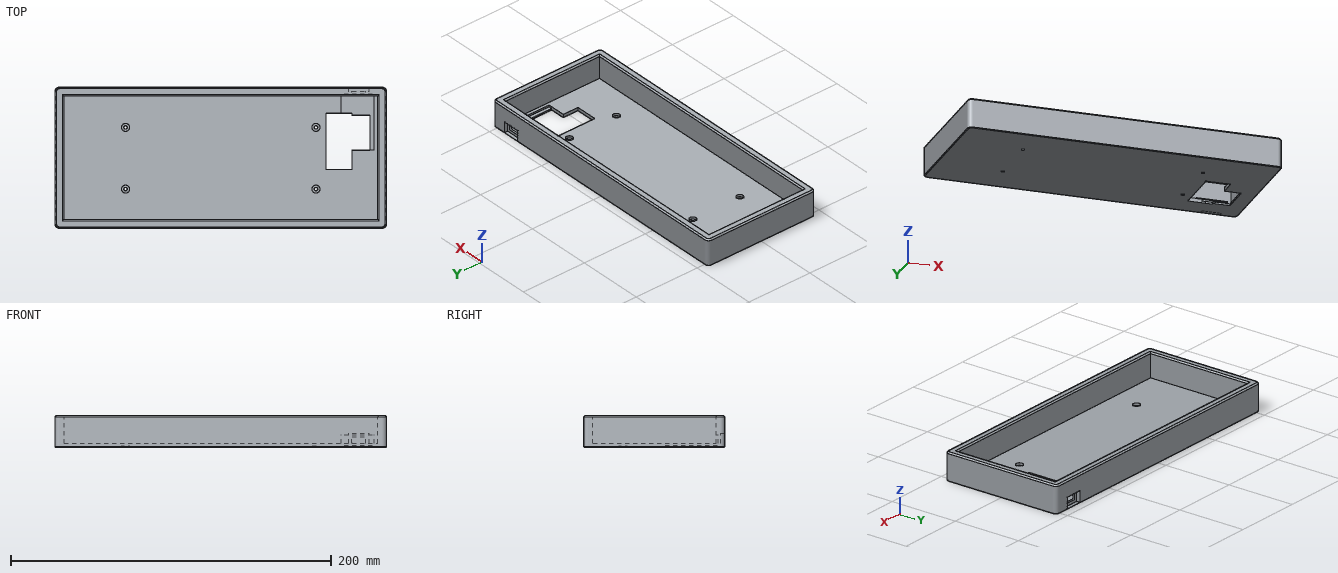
import cadquery as cq

LENGTH = 207.4
WIDTH = 88.35
HEIGHT = 20.0
CORNER_RADIUS = 3.0
TOP_CHAMFER = 1.0
BOTTOM_CHAMFER = 0.5

WALL = 5.7
FLOOR = 2.5
RIM_CHAMFER = 1.0

SCREW_X = 59.5
SCREW_SPACING_Y = 38.6
SCREW_CENTER_Y = -0.3
SCREW_HOLE_DIAMETER = 2.0
COUNTERBORE_DIAMETER = 5.0
COUNTERBORE_DEPTH = 1.7

WINDOW_LEFT = 65.8
WINDOW_STEP = 82.0
WINDOW_RIGHT = 93.2
TALL_TOP = 27.7
TALL_BOTTOM = -7.2
SHORT_TOP = 26.5
SHORT_BOTTOM = 4.8

RECESS_LEFT = 75.3
RECESS_RIGHT = 95.7
RECESS_FLOOR = 1.2
RECESS_TOP = 7.6
RECESS_WALL_DEPTH = 1.5

PORT_LEFT = 81.8
PORT_RIGHT = 90.6
PORT_BOTTOM = 2.5
PORT_TOP = 6.5
PORT_CORNER_RADIUS = 0.43
PORT_WALL = 1.5
PLUG_MARGIN = 2.0

CAVITY_LENGTH = LENGTH - 2 * WALL
CAVITY_WIDTH = WIDTH - 2 * WALL


def block(x_range, y_range, z_range):
    """Axis-aligned box given by its limits along each axis."""
    (x0, x1), (y0, y1), (z0, z1) = x_range, y_range, z_range
    return cq.Workplane("XY").box(x1 - x0, y1 - y0, z1 - z0, centered=False).translate((x0, y0, z0))


def make_shell():
    body = cq.Workplane("XY").box(LENGTH, WIDTH, HEIGHT, centered=(True, True, False))
    body = body.edges("|Z").fillet(CORNER_RADIUS)
    body = body.faces(">Z").chamfer(TOP_CHAMFER)
    body = body.faces("<Z").chamfer(BOTTOM_CHAMFER)
    cavity = (
        cq.Workplane("XY", origin=(0, 0, FLOOR))
        .rect(CAVITY_LENGTH, CAVITY_WIDTH)
        .extrude(HEIGHT - FLOOR)
    )
    body = body.cut(cavity)
    flare = (
        cq.Workplane("XY", origin=(0, 0, HEIGHT - RIM_CHAMFER))
        .rect(CAVITY_LENGTH, CAVITY_WIDTH)
        .workplane(offset=RIM_CHAMFER)
        .rect(CAVITY_LENGTH + 2 * RIM_CHAMFER, CAVITY_WIDTH + 2 * RIM_CHAMFER)
        .loft(ruled=True)
    )
    return body.cut(flare)


def cut_screw_holes(body):
    y_low = SCREW_CENTER_Y - SCREW_SPACING_Y / 2
    y_high = SCREW_CENTER_Y + SCREW_SPACING_Y / 2
    spots = [(x, y) for x in (-SCREW_X, SCREW_X) for y in (y_low, y_high)]
    base = cq.Workplane("XY").pushPoints(spots)
    holes = base.circle(SCREW_HOLE_DIAMETER / 2).extrude(FLOOR)
    counterbores = base.circle(COUNTERBORE_DIAMETER / 2).extrude(COUNTERBORE_DEPTH)
    return body.cut(holes).cut(counterbores.translate((0, 0, FLOOR - COUNTERBORE_DEPTH)))


def cut_window(body):
    depth = (0, HEIGHT)
    tall = block((WINDOW_LEFT, WINDOW_STEP), (TALL_BOTTOM, TALL_TOP), depth)
    short = block((WINDOW_STEP, WINDOW_RIGHT), (SHORT_BOTTOM, SHORT_TOP), depth)
    return body.cut(tall).cut(short)


def cut_connector(body):
    wall_y = CAVITY_WIDTH / 2
    recess = block(
        (RECESS_LEFT, RECESS_RIGHT),
        (SHORT_BOTTOM, wall_y + RECESS_WALL_DEPTH),
        (RECESS_FLOOR, RECESS_TOP),
    )
    relief_y = wall_y + RECESS_WALL_DEPTH + PORT_WALL
    port = block((PORT_LEFT, PORT_RIGHT), (wall_y, relief_y), (PORT_BOTTOM, PORT_TOP))
    port = port.edges("|Y").fillet(PORT_CORNER_RADIUS)
    relief = block(
        (PORT_LEFT - PLUG_MARGIN, PORT_RIGHT + PLUG_MARGIN),
        (relief_y, WIDTH / 2),
        (PORT_BOTTOM - PLUG_MARGIN, PORT_TOP + PLUG_MARGIN),
    )
    return body.cut(recess).cut(port).cut(relief)


result = cut_connector(cut_window(cut_screw_holes(make_shell())))